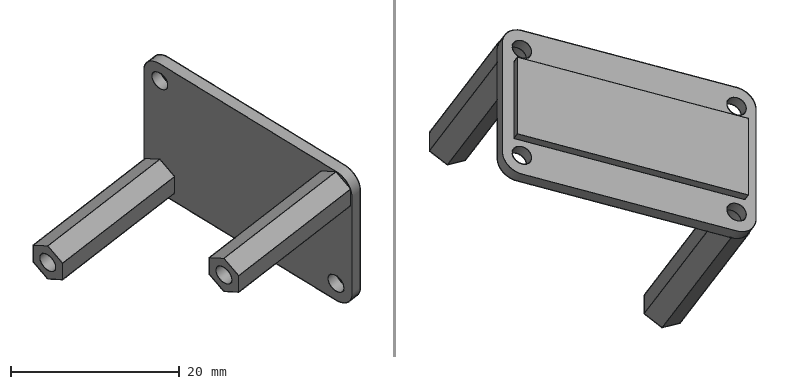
import cadquery as cq
import math

plate_width = 33.02
plate_height = 21.05
plate_thickness = 1.52
corner_radius = 2.55

pad_width = 30.05
pad_height = 11.23
pad_thickness = 1.02

hole_diameter = 2.5
hole_spacing_x = 27.95
hole_spacing_z = 15.52

standoff_length = 20.0
standoff_across_flats = 4.7
standoff_across_corners = standoff_across_flats / math.cos(math.radians(30))

standoff_centres = [
    (-hole_spacing_x / 2, -hole_spacing_z / 2),
    (hole_spacing_x / 2, hole_spacing_z / 2),
]


def make_plate():
    """Rounded plate with a pad on its back and four through holes."""
    plate = (
        cq.Workplane("XZ")
        .rect(plate_width, plate_height)
        .extrude(-plate_thickness)
        .edges("|Y")
        .fillet(corner_radius)
    )
    pad = (
        cq.Workplane("XZ", origin=(0, plate_thickness, 0))
        .rect(pad_width, pad_height)
        .extrude(-pad_thickness)
    )
    holes = (
        cq.Workplane("XZ")
        .rect(hole_spacing_x, hole_spacing_z, forConstruction=True)
        .vertices()
        .circle(hole_diameter / 2)
        .extrude(-plate_thickness)
    )
    return plate.union(pad).cut(holes)


def make_standoff(x, z):
    """Hexagonal standoff with a through bore, reaching from the plate toward -Y."""
    hexagon = (
        cq.Workplane("XZ", origin=(x, 0, z))
        .transformed(rotate=(0, 0, 30))
        .polygon(6, standoff_across_corners)
        .extrude(standoff_length)
    )
    bore = cq.Workplane("XZ", origin=(x, 0, z)).circle(hole_diameter / 2).extrude(standoff_length)
    return hexagon.cut(bore)


plate = make_plate()
standoffs = [make_standoff(x, z) for x, z in standoff_centres]

result = cq.Compound.makeCompound([plate.val(), *[standoff.val() for standoff in standoffs]])